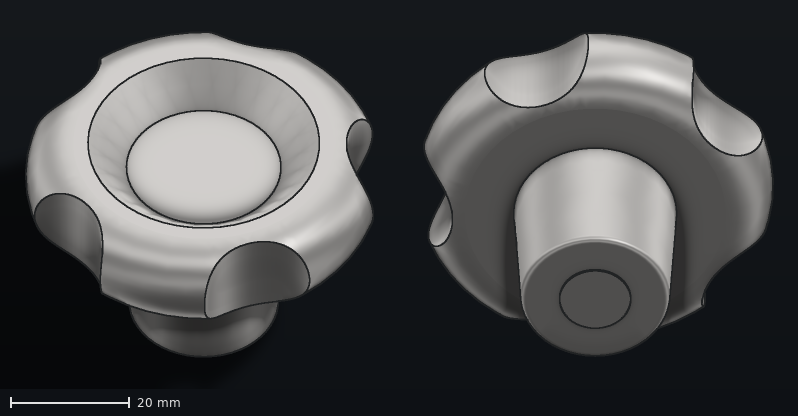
import cadquery as cq
import math

head_radius = 30.0
head_height = 16.0
rim_radius = head_height / 2
flat_radius = head_radius - rim_radius

recess_top_radius = 19.5
recess_floor_radius = 13.0
recess_depth = 6.0

scallop_count = 5
scallop_radius = 12.0
scallop_inner_distance = 24.05
first_scallop_angle = -90.0

stem_length = 24.0
stem_top_radius = 13.75
stem_bottom_radius = 12.55
stem_edge_fillet = 1.0
insert_diameter = 12.0
insert_protrusion = 0.35

stem_bottom = insert_protrusion
head_bottom = stem_bottom + stem_length
head_top = head_bottom + head_height


def make_head():
    """Revolve the round-rimmed disc, including its conical recess."""
    recess_floor = head_top - recess_depth
    return (
        cq.Workplane("XZ")
        .moveTo(0, head_bottom)
        .lineTo(flat_radius, head_bottom)
        .threePointArc((head_radius, head_bottom + rim_radius), (flat_radius, head_top))
        .lineTo(recess_top_radius, head_top)
        .lineTo(recess_floor_radius, recess_floor)
        .lineTo(0, recess_floor)
        .close()
        .revolve(360, (0, 0), (0, 1))
    )


def make_scallops():
    """Vertical cylinders that cut the finger grips."""
    return (
        cq.Workplane("XY")
        .workplane(offset=head_bottom)
        .polarArray(
            scallop_inner_distance + scallop_radius, first_scallop_angle, 360, scallop_count
        )
        .circle(scallop_radius)
        .extrude(head_height)
    )


def make_stem():
    """Stem narrowing downwards, with a rounded lower edge."""
    taper = math.degrees(math.atan((stem_top_radius - stem_bottom_radius) / stem_length))
    return (
        cq.Workplane("XY")
        .workplane(offset=stem_bottom)
        .circle(stem_bottom_radius)
        .extrude(stem_length, taper=-taper)
        .faces("<Z")
        .edges()
        .fillet(stem_edge_fillet)
    )


def make_insert():
    """Insert running up the core of the stem."""
    return cq.Workplane("XY").circle(insert_diameter / 2).extrude(head_bottom)


result = make_head().cut(make_scallops()).union(make_stem()).union(make_insert())